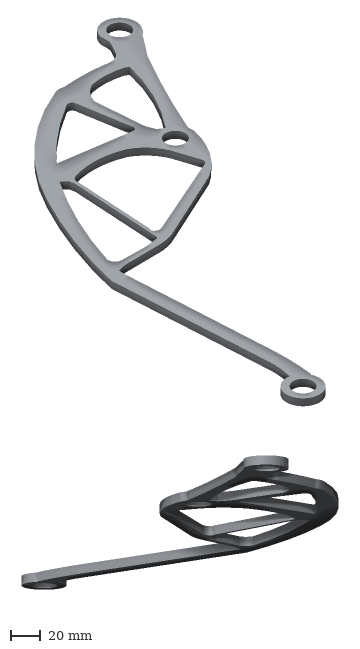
import cadquery as cq

length = 490.0
thickness = 6.5
eye_radius = 15.0
hole_diameter = 18.0
right_eye_x = length - 2 * eye_radius
pivot_x = 139.5


def plate(start, *edges):
    """Extrude a closed profile.

    An edge with one point is a line to it; an edge with two points
    is an arc through the first that ends at the second.
    """
    profile = cq.Workplane("XY").moveTo(*start)
    for edge in edges:
        if len(edge) == 1:
            profile = profile.lineTo(*edge[0])
        else:
            profile = profile.threePointArc(*edge)
    return profile.close().extrude(thickness)


def cylinder(x, radius):
    """Round disc on the common centre line of the three holes."""
    return cq.Workplane("XY").center(x, 0).circle(radius).extrude(thickness)


body = plate(
    (0, 0),
    [(5.5, 13.5)],
    [(20.5, 12.0), (36.5, 9.5)],
    [(83.0, 9.5), (129.5, 12.0)],
    [(134.0, 14.5)],
    [(158.5, 17.5), (191.0, 9.5)],
    [(250.5, -32.0)],
    [(258.0, -38.0), (264.0, -45.5)],
    [(279.5, -70.0)],
    [(283.0, -76.0), (288.0, -81.0)],
    [(293.0, -78.5)],
    [(412.5, -7.0)],
    [(429.0, 2.0), (446.5, 9.5)],
    [(right_eye_x, 0)],
    [(443.5, -6.0)],
    [(432.0, -10.0), (421.5, -15.5)],
    [(299.0, -89.0)],
    [(245.0, -100.0), (189.5, -104.0)],
    [(125.0, -94.5), (63.0, -62.5)],
    [(60.5, -60.0), (58.5, -55.5)],
    [(47.5, -38.5), (38.5, -21.5)],
    [(35.0, -14.0), (28.5, -10.5)],
    [(13.0, -10.5)],
    [(4.0, -14.0)],
)

upper_left_window = plate(
    (46.0, -6.0),
    [(94.0, 0.0), (125.5, -3.0)],
    [(125.5, -9.0)],
    [(122.0, -13.0), (117.5, -17.0)],
    [(81.0, -40.0)],
    [(70.0, -40.0), (60.8, -36.5)],
    [(52.5, -25.0), (46.0, -10.0)],
)

lower_left_window = plate(
    (117.5, -24.5),
    [(120.5, -23.0), (123.5, -25.5)],
    [(148.5, -85.2)],
    [(142.5, -84.5)],
    [(111.0, -74.0), (81.0, -60.0)],
    [(78.5, -56.5), (81.0, -52.5)],
)

central_window = plate(
    (170.5, 10.5),
    [(173.0, 11.5), (176.0, 10.5)],
    [(243.5, -38.0)],
    [(246.0, -40.5), (247.0, -43.5)],
    [(246.0, -46.0), (243.0, -47.0)],
    [(174.5, -78.0)],
    [(171.0, -79.0), (167.5, -78.0)],
    [(152.0, -58.5), (144.0, -35.0)],
    [(146.5, -19.5), (154.0, -7.0)],
)

lower_right_window = plate(
    (170.5, -89.5),
    [(222.0, -90.5), (272.5, -85.0)],
    [(276.5, -81.0), (276.0, -75.5)],
    [(264.0, -55.5)],
    [(256.5, -46.0)],
    [(255.0, -45.0), (252.5, -46.0)],
    [(176.0, -80.5)],
    [(172.5, -83.5)],
)

for eye_x in (0, right_eye_x):
    body = body.union(cylinder(eye_x, eye_radius))

for window in (upper_left_window, lower_left_window, central_window, lower_right_window):
    body = body.cut(window)

for hole_x in (0, pivot_x, right_eye_x):
    body = body.cut(cylinder(hole_x, hole_diameter / 2))

result = body